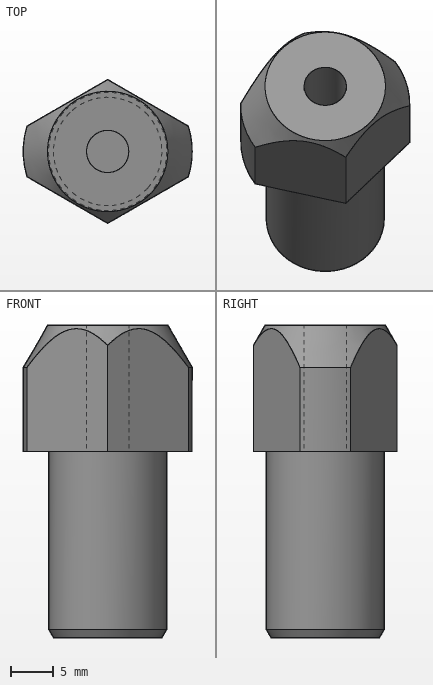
import cadquery as cq
import math

total_height = 37.0
head_height = 15.0
head_diameter = 20.0
head_width = 17.02
flat_angle = 30.0
head_cone_height = 5.0
cone_angle = 30.0
shank_diameter = 14.0
shank_chamfer_height = 1.0
bore_diameter = 5.0
bore_depth = head_height

cone_slope = math.tan(math.radians(cone_angle))
head_radius = head_diameter / 2
shank_radius = shank_diameter / 2
head_base = total_height - head_height
shoulder_height = total_height - head_cone_height
top_radius = head_radius - head_cone_height * cone_slope
tip_radius = shank_radius - shank_chamfer_height * cone_slope


def make_shank():
    """Round shank with a conical lead-in at its free end."""
    profile = [
        (0, 0),
        (tip_radius, 0),
        (shank_radius, shank_chamfer_height),
        (shank_radius, head_base),
        (0, head_base),
    ]
    return cq.Workplane("XZ").polyline(profile).close().revolve(360, (0, 0), (0, 1))


def make_head():
    """Round head with a conical top, cut by four flats that form a rhombus."""
    profile = [
        (0, head_base),
        (head_radius, head_base),
        (head_radius, shoulder_height),
        (top_radius, total_height),
        (0, total_height),
    ]
    blank = cq.Workplane("XZ").polyline(profile).close().revolve(360, (0, 0), (0, 1))

    half_width = head_width / 2
    half_length = half_width / math.tan(math.radians(flat_angle))
    corners = [(half_length, 0), (0, half_width), (-half_length, 0), (0, -half_width)]
    rhombus = (
        cq.Workplane("XY")
        .workplane(offset=head_base)
        .polyline(corners)
        .close()
        .extrude(head_height)
    )
    return blank.intersect(rhombus)


def make_bore():
    """Flat-bottomed bore entering from the top of the head."""
    return (
        cq.Workplane("XY")
        .workplane(offset=total_height - bore_depth)
        .circle(bore_diameter / 2)
        .extrude(bore_depth)
    )


result = make_shank().union(make_head()).cut(make_bore())